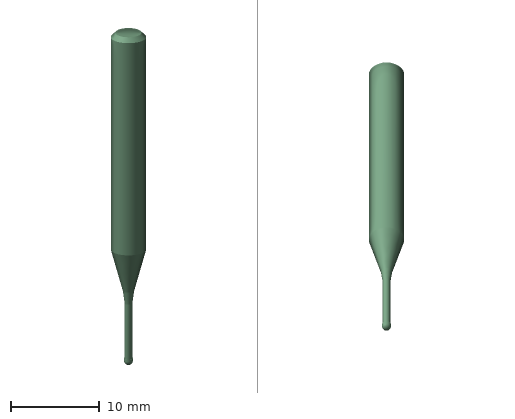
import cadquery as cq
import math

total_length = 40.0

ball_radius = 0.5
head_length = 0.8

shank_radius = 2.0
rear_chamfer = 0.5
main_cone_top_z = 13.9
main_cone_bottom_z = 8.9
main_cone_bottom_radius = 0.65
collar_z = 8.05
collar_radius = 0.5
neck_top_z = 7.4
neck_radius = 0.45


def revolve_about_z(profile):
    """Turn a closed half profile, drawn in the XZ plane, around the Z axis."""
    return profile.revolve(360, (0, 0, 0), (0, 1, 0))


def make_cutting_head():
    """Ball nose with a short cylindrical land behind it."""
    arc_mid = ball_radius * math.sqrt(0.5)
    profile = (
        cq.Workplane("XZ")
        .moveTo(0, 0)
        .threePointArc((arc_mid, ball_radius - arc_mid), (ball_radius, ball_radius))
        .lineTo(ball_radius, head_length)
        .lineTo(0, head_length)
        .close()
    )
    return revolve_about_z(profile)


def make_shank():
    """Chamfered shank that tapers in three cones to a slim neck."""
    profile = (
        cq.Workplane("XZ")
        .moveTo(0, head_length)
        .lineTo(neck_radius, head_length)
        .lineTo(neck_radius, neck_top_z)
        .lineTo(collar_radius, collar_z)
        .lineTo(main_cone_bottom_radius, main_cone_bottom_z)
        .lineTo(shank_radius, main_cone_top_z)
        .lineTo(shank_radius, total_length - rear_chamfer)
        .lineTo(shank_radius - rear_chamfer, total_length)
        .lineTo(0, total_length)
        .close()
    )
    return revolve_about_z(profile)


cutting_head = make_cutting_head()
shank = make_shank()

result = cq.Compound.makeCompound([cutting_head.val(), shank.val()])